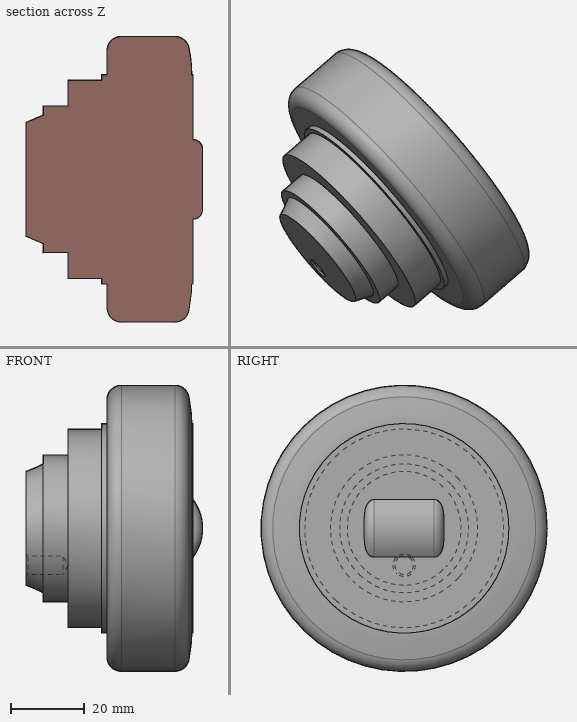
import cadquery as cq
import math

taper_end = 4.7
pin_end = 11.4
hub_end = 20.6
roller_start = 22.0
roller_end = 45.1
cap_face = 45.4
overall_length = 48.0

tip_radius = 15.5
taper_radius = 17.5
pin_radius = 20.0
hub_radius = 27.0
cap_radius = 28.4
roller_radius = 38.85

rim_fillet = 4.0
crown_radius = 35.0

button_radius = 12.9
button_length = 21.75
button_fillet = 2.7

hole_offset = 10.0
hole_radius = 2.5
hole_mouth_radius = 3.0
hole_depth = 10.0
drill_half_angle = math.radians(59)


def revolve_about_x(profile):
    """Turn a profile of (x, radius) points about the X axis."""
    return profile.close().revolve(360, (0, 0, 0), (1, 0, 0))


def make_axle():
    """Tapered tip, pin, hub and cap, all on one axis."""
    profile = (
        cq.Workplane("XY")
        .lineTo(0, tip_radius)
        .lineTo(taper_end, taper_radius)
        .lineTo(taper_end, pin_radius)
        .lineTo(pin_end, pin_radius)
        .lineTo(pin_end, hub_radius)
        .lineTo(hub_end, hub_radius)
        .lineTo(hub_end, cap_radius)
        .lineTo(cap_face, cap_radius)
        .lineTo(cap_face, 0)
    )
    return revolve_about_x(profile)


def make_roller():
    """Wheel with a rounded rim, a flat inner side and a crowned outer side."""
    arc_center_radius = roller_radius - rim_fillet
    inner_center_x = roller_start + rim_fillet

    crown_center_x = roller_end - crown_radius
    center_rise = arc_center_radius - cap_radius
    tangent_angle = math.asin(center_rise / (crown_radius - rim_fillet))
    outer_center_x = crown_center_x + center_rise / math.tan(tangent_angle)

    def crown_point(angle):
        return (
            crown_center_x + crown_radius * math.cos(angle),
            cap_radius + crown_radius * math.sin(angle),
        )

    def outer_arc_point(angle):
        return (
            outer_center_x + rim_fillet * math.cos(angle),
            arc_center_radius + rim_fillet * math.sin(angle),
        )

    def inner_arc_point(angle):
        return (
            inner_center_x - rim_fillet * math.cos(angle),
            arc_center_radius + rim_fillet * math.sin(angle),
        )

    profile = (
        cq.Workplane("XY")
        .moveTo(roller_start, 0)
        .lineTo(*inner_arc_point(0))
        .threePointArc(inner_arc_point(math.pi / 4), inner_arc_point(math.pi / 2))
        .lineTo(*outer_arc_point(math.pi / 2))
        .threePointArc(outer_arc_point(math.pi / 4), outer_arc_point(tangent_angle))
        .threePointArc(crown_point(tangent_angle / 2), crown_point(0))
        .lineTo(roller_end, 0)
    )
    return revolve_about_x(profile)


def make_button():
    """Crosswise cylinder with rounded ends; only its crown stands out of the cap."""
    return (
        cq.Workplane("XZ", origin=(overall_length - button_radius, 0, 0))
        .circle(button_radius)
        .extrude(button_length / 2, both=True)
        .edges("%CIRCLE")
        .fillet(button_fillet)
    )


def make_hole():
    """Blind drilled hole with a 45 degree countersunk mouth and a conical bottom."""
    mouth_depth = hole_mouth_radius - hole_radius
    point_length = hole_radius / math.tan(drill_half_angle)
    profile = (
        cq.Workplane("XY")
        .lineTo(0, hole_mouth_radius)
        .lineTo(mouth_depth, hole_radius)
        .lineTo(hole_depth, hole_radius)
        .lineTo(hole_depth + point_length, 0)
    )
    return revolve_about_x(profile).translate((0, 0, -hole_offset))


result = make_axle().union(make_roller()).union(make_button()).cut(make_hole())